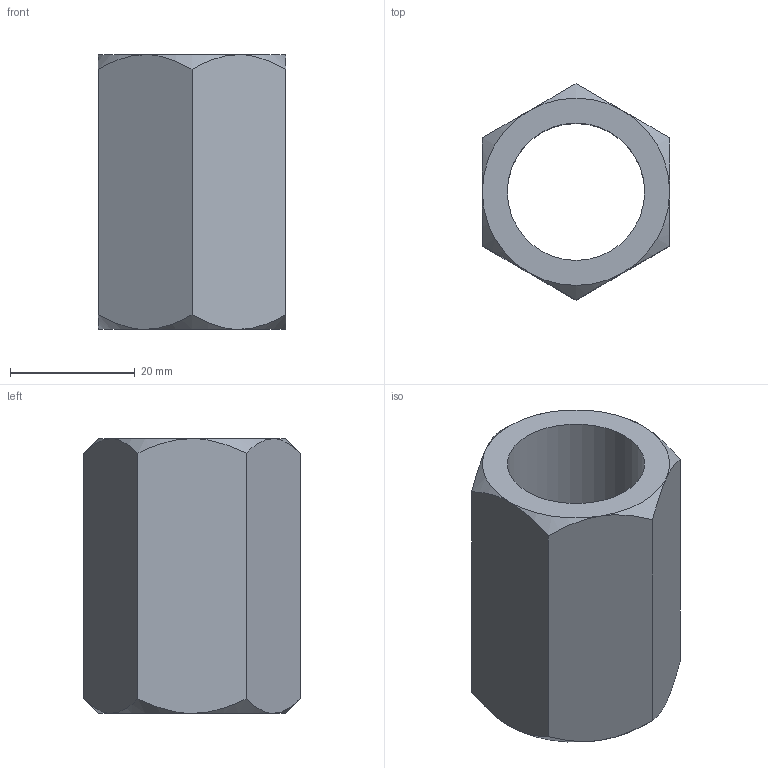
import cadquery as cq
import math

across_flats = 30.0
length = 44.0
bore_diameter = 22.0
side_count = 6

across_corners = across_flats / math.cos(math.pi / side_count)
chamfer_size = (across_corners - across_flats) / 2


def hexagonal_bar():
    """Hexagonal prism standing on Z = 0, with corners on the Y axis and flats facing +X and -X."""
    return (
        cq.Workplane("XY")
        .transformed(rotate=(0, 0, 90))
        .polygon(side_count, across_corners)
        .extrude(length)
    )


def chamfer_envelope():
    """Cylinder through the hexagon corners, chamfered at both ends."""
    return (
        cq.Workplane("XY")
        .circle(across_corners / 2)
        .extrude(length)
        .faces("<Z or >Z")
        .chamfer(chamfer_size)
    )


def through_bore():
    """Plain round bore along the full length."""
    return cq.Workplane("XY").circle(bore_diameter / 2).extrude(length)


result = hexagonal_bar().intersect(chamfer_envelope()).cut(through_bore())